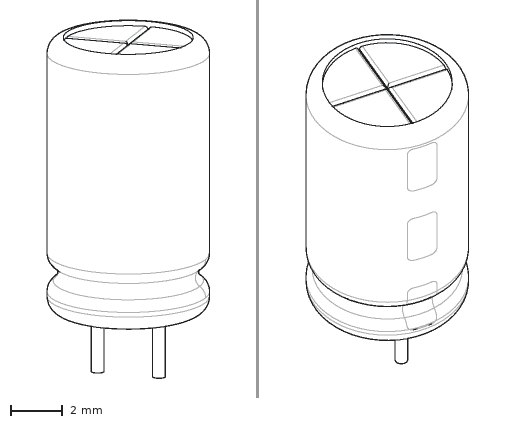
import cadquery as cq
import math

can_diameter = 6.3
total_height = 13.5
lead_length = 2.5
lead_diameter = 0.5
lead_spacing = 2.5
edge_radius = 0.63
top_recess_depth = 0.2

crimp_center_z = 4.09
throat_radius = 0.39
shoulder_radius = 0.53
crimp_angle = math.radians(57)

vent_width = 0.3
vent_floor_width = 0.05

mark_width = 1.28
mark_height = 2.2
mark_pitch = 3.65
mark_corner_radius = 0.25
mark_count = 3
lowest_mark_center_z = 4.36
mark_thickness = 0.81

can_radius = can_diameter / 2
recess_radius = can_radius - edge_radius
recess_floor_z = total_height - top_recess_depth


def arc_point(center, radius, angle):
    """Point (r, z) on a circle, with the angle measured from the outward direction."""
    return (center[0] + radius * math.cos(angle), center[1] + radius * math.sin(angle))


def make_can():
    center_distance = throat_radius + shoulder_radius
    shoulder_offset = center_distance * math.sin(crimp_angle)
    shoulder_center_r = can_radius - shoulder_radius
    throat_center_r = shoulder_center_r + center_distance * math.cos(crimp_angle)
    lower_shoulder = (shoulder_center_r, crimp_center_z - shoulder_offset)
    upper_shoulder = (shoulder_center_r, crimp_center_z + shoulder_offset)
    bottom_edge = (recess_radius, lead_length + edge_radius)
    top_edge = (recess_radius, total_height - edge_radius)
    eighth_turn = math.pi / 4

    profile = (
        cq.Workplane("XZ")
        .moveTo(0, lead_length)
        .lineTo(recess_radius, lead_length)
        .threePointArc(arc_point(bottom_edge, edge_radius, -eighth_turn), (can_radius, bottom_edge[1]))
        .lineTo(can_radius, lower_shoulder[1])
        .threePointArc(
            arc_point(lower_shoulder, shoulder_radius, crimp_angle / 2),
            arc_point(lower_shoulder, shoulder_radius, crimp_angle),
        )
        .threePointArc(
            (throat_center_r - throat_radius, crimp_center_z),
            arc_point(upper_shoulder, shoulder_radius, -crimp_angle),
        )
        .threePointArc(
            arc_point(upper_shoulder, shoulder_radius, -crimp_angle / 2),
            (can_radius, upper_shoulder[1]),
        )
        .lineTo(can_radius, top_edge[1])
        .threePointArc(arc_point(top_edge, edge_radius, eighth_turn), (recess_radius, total_height))
        .lineTo(recess_radius, recess_floor_z)
        .lineTo(0, recess_floor_z)
        .close()
    )
    return profile.revolve(360, (0, 0, 0), (0, 1, 0))


def make_vent():
    side_radius = (vent_width - vent_floor_width) / 2
    floor_z = recess_floor_z - side_radius
    right_center = (vent_width / 2, floor_z)
    left_center = (-vent_width / 2, floor_z)
    groove = (
        cq.Workplane("XZ")
        .moveTo(-vent_width / 2, recess_floor_z)
        .threePointArc(
            arc_point(left_center, side_radius, math.pi / 4),
            (-vent_floor_width / 2, floor_z),
        )
        .lineTo(vent_floor_width / 2, floor_z)
        .threePointArc(
            arc_point(right_center, side_radius, 3 * math.pi / 4),
            (vent_width / 2, recess_floor_z),
        )
        .close()
        .extrude(recess_radius, both=True)
    )
    cross = groove.union(groove.rotate((0, 0, 0), (0, 0, 1), 90))
    recess_column = cq.Workplane("XY").circle(recess_radius).extrude(total_height)
    return cross.intersect(recess_column)


def make_leads():
    return (
        cq.Workplane("XY")
        .pushPoints([(-lead_spacing / 2, 0), (lead_spacing / 2, 0)])
        .circle(lead_diameter / 2)
        .extrude(lead_length)
    )


def make_mark_block(index):
    return (
        cq.Workplane("XY")
        .box(mark_thickness, mark_width, mark_height)
        .edges("|X")
        .fillet(mark_corner_radius)
        .translate((-can_radius + mark_thickness / 2, 0, lowest_mark_center_z + index * mark_pitch))
    )


result = make_can().cut(make_vent()).union(make_leads())

for index in range(mark_count):
    block = make_mark_block(index)
    inlay = result.intersect(block)
    result = result.cut(block, clean=False).union(inlay, clean=False)